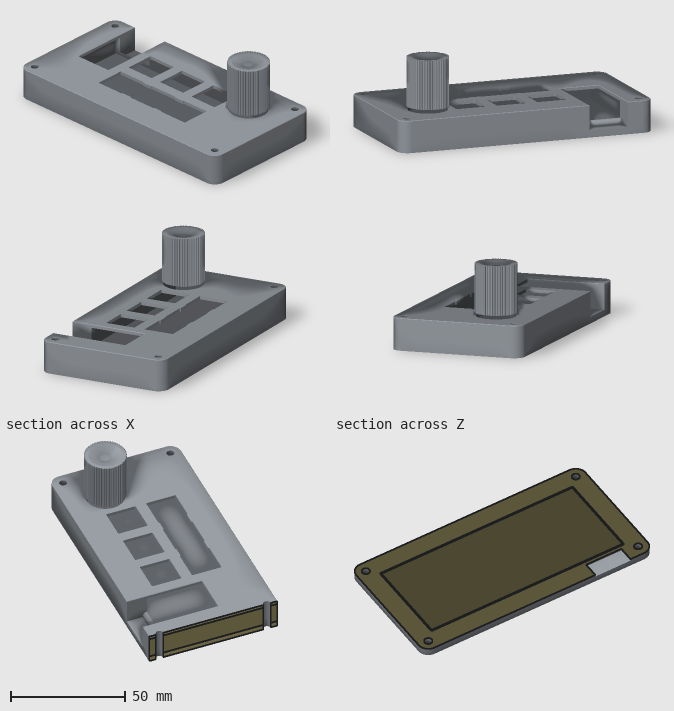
import cadquery as cq
import math

length = 119.0
width = 61.0
corner_radius = 5.0
screw_hole_diameter = 3.5

bottom_thickness = 3.0
frame_height = 10.0
plate_thickness = 1.5
board_thickness = 1.5
frame_top = bottom_thickness + frame_height
plate_top = frame_top + plate_thickness
edge_chamfer = 0.2

wall = 9.5
board_gap = 0.4
cavity_length = length - 2 * wall
cavity_width = width - 2 * wall
cavity_rear = width / 2 - wall

slot_left = -length / 2 + 12.1
slot_width = 18.1
slot_depth = 35.8
slot_centre_x = slot_left + slot_width / 2

sill_radius = 2.0
sill_height = 2.5

key_size = 14.0
key_pitch = 19.0
key_count = 3
key_corner_radius = 0.5
first_key_x = -length / 2 + 42.2
key_row_y = width / 2 - 21.2
long_key_row_y = key_row_y - key_pitch
neck_inset = 0.5
long_window_corner_radius = 0.23

knob_x = length / 2 - 20.0
knob_y = width / 2 - 18.8
knob_hole_diameter = 17.7
knob_bottom = 16.2
knob_height = 22.0
knob_diameter = 18.8
knob_root_diameter = 17.7
knurl_count = 50
dish_diameter = 15.0
dish_floor_diameter = 5.2
dish_depth = 1.5


def block(size_x, size_y, base, height, x=0, y=0):
    """Upright rectangular block centred on (x, y)."""
    return cq.Workplane("XY", origin=(x, y, base)).rect(size_x, size_y).extrude(height)


def case_slab(base, thickness):
    """Slab with the rounded case outline."""
    return block(length, width, base, thickness).edges("|Z").fillet(corner_radius)


def screw_holes():
    """Cylinders that cut the four screw holes, concentric with the case corners."""
    return (
        cq.Workplane("XY")
        .rect(length - 2 * corner_radius, width - 2 * corner_radius, forConstruction=True)
        .vertices()
        .circle(screw_hole_diameter / 2)
        .extrude(plate_top)
    )


def rear_block(depth, base, height):
    """Block as wide as the controller slot, reaching inwards from the rear side."""
    return block(slot_width, depth, base, height, slot_centre_x, (width - depth) / 2)


def make_bottom():
    """Flat base of the case."""
    return case_slab(0, bottom_thickness).cut(screw_holes())


def make_sill():
    """Low bar across the rear opening, rounded on its outer top edge."""
    return (
        cq.Workplane("YZ", origin=(slot_left, cavity_rear, bottom_thickness))
        .lineTo(sill_radius, 0)
        .lineTo(sill_radius, sill_height - sill_radius)
        .radiusArc((0, sill_height), -sill_radius)
        .close()
        .extrude(slot_width)
    )


def make_frame():
    """Hollow middle of the case, open at the rear above the sill."""
    frame = case_slab(bottom_thickness, frame_height)
    frame = frame.cut(block(cavity_length, cavity_width, bottom_thickness, frame_height))
    frame = frame.cut(rear_block(wall, bottom_thickness, frame_height))
    return frame.union(make_sill()).cut(screw_holes())


def make_board():
    """Circuit board lying on the bottom, inside the frame cavity."""
    board_length = cavity_length - 2 * board_gap
    board_width = cavity_width - 2 * board_gap
    return block(board_length, board_width, bottom_thickness, board_thickness)


def key_windows(row_y):
    """Row of square key windows."""
    windows = cq.Workplane("XY")
    for i in range(key_count):
        key_x = first_key_x + i * key_pitch
        windows = windows.union(block(key_size, key_size, frame_top, plate_thickness, key_x, row_y))
    return windows


def long_window():
    """Row of key windows joined into one by slightly narrower necks."""
    neck_length = (key_count - 1) * key_pitch
    neck_width = key_size - 2 * neck_inset
    neck_x = first_key_x + neck_length / 2
    neck = block(neck_length, neck_width, frame_top, plate_thickness, neck_x, long_key_row_y)
    joined = key_windows(long_key_row_y).union(neck)
    return joined.edges("|Z").fillet(long_window_corner_radius)


def knob_hole():
    """Round opening in the plate below the knob."""
    return (
        cq.Workplane("XY", origin=(knob_x, knob_y, frame_top))
        .circle(knob_hole_diameter / 2)
        .extrude(plate_thickness)
    )


def make_plate():
    """Top plate, chamfered round its outline, with the slot and all windows."""
    plate = case_slab(frame_top, plate_thickness)
    plate = plate.cut(rear_block(slot_depth, frame_top, plate_thickness))
    plate = plate.faces(">Z").edges().chamfer(edge_chamfer)
    square_windows = key_windows(key_row_y).edges("|Z").fillet(key_corner_radius)
    return plate.cut(screw_holes()).cut(square_windows).cut(long_window()).cut(knob_hole())


def knurl_points():
    """Corners of the knurled outline: each tooth has one root point and a flat crest."""
    root_radius = knob_root_diameter / 2
    crest_radius = knob_diameter / 2
    tooth_angle = 2 * math.pi / knurl_count
    tooth = ((-0.5, root_radius), (-0.25, crest_radius), (0.25, crest_radius))
    points = []
    for i in range(knurl_count):
        for offset, radius in tooth:
            angle = (i + offset) * tooth_angle
            points.append((radius * math.cos(angle), radius * math.sin(angle)))
    return points


def make_knob():
    """Knurled knob with a conical dish in its top."""
    body = (
        cq.Workplane("XY", origin=(knob_x, knob_y, knob_bottom))
        .polyline(knurl_points())
        .close()
        .extrude(knob_height)
    )
    dish = (
        cq.Workplane("XY", origin=(knob_x, knob_y, knob_bottom + knob_height))
        .circle(dish_diameter / 2)
        .workplane(offset=-dish_depth)
        .circle(dish_floor_diameter / 2)
        .loft()
    )
    return body.cut(dish)


bottom = make_bottom()
frame = make_frame()
board = make_board()
plate = make_plate()
knob = make_knob()

result = cq.Compound.makeCompound([bottom.val(), frame.val(), board.val(), plate.val(), knob.val()])